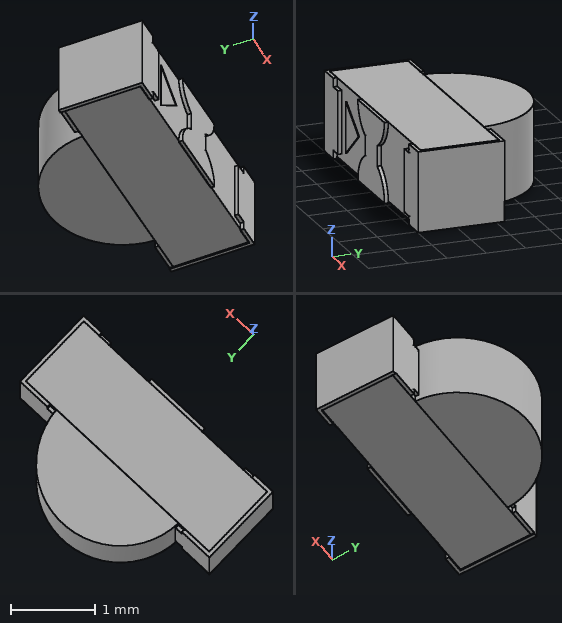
import cadquery as cq
import math


board_length = 3.0
board_depth = 1.0
board_height = 1.0
standoff = 0.02
top = standoff + board_height
board_mid_z = standoff + board_height / 2
board_front = -board_depth / 2
board_back = board_depth / 2

triangle_base_x = -0.94
triangle_tip_x = -0.52
triangle_low_z = 0.17
triangle_high_z = 0.82
triangle_thickness = 0.01

lens_radius = 1.0
lens_centre_y = 0.45

plating = 0.05
end_outer_x = board_length / 2 + plating
front_arm_width = 0.30
back_arm_width = 0.45
tab_height = 0.80
front_tab_width = 0.45
tab_bottom = (top - tab_height) / 2

lobe_radius = 0.44
neck_half_width = 0.20
upper_lobe_centre_z = 2 * board_mid_z


def box(x_min, x_max, y_min, y_max, z_min, z_max):
    """Axis-aligned block between the given limits."""
    size = (x_max - x_min, y_max - y_min, z_max - z_min)
    return cq.Workplane("XY").box(*size, centered=False).translate((x_min, y_min, z_min))


def make_board():
    """Rectangular board with the polarity triangle raised on its front."""
    block = box(-board_length / 2, board_length / 2, board_front, board_back, standoff, top)
    triangle = (
        cq.Workplane("XZ", origin=(0, board_front, 0))
        .moveTo(triangle_base_x, triangle_low_z)
        .lineTo(triangle_tip_x, board_mid_z)
        .lineTo(triangle_base_x, triangle_high_z)
        .close()
        .extrude(triangle_thickness)
    )
    return block.union(triangle)


def make_lens():
    """Circular segment standing against the back of the board, as tall as the board."""
    contact_half_width = math.sqrt(lens_radius**2 - (board_back - lens_centre_y) ** 2)
    return (
        cq.Workplane("XY", origin=(0, 0, standoff))
        .moveTo(-contact_half_width, board_back)
        .threePointArc((0, lens_centre_y + lens_radius), (contact_half_width, board_back))
        .close()
        .extrude(board_height)
    )


def make_end_terminal(side, lens):
    """U-shaped plating around one board end; side is -1 for the left end and +1 for the right."""
    board_end = board_length / 2
    front_face = board_front - plating
    back_face = board_back + plating
    tab_top = tab_bottom + tab_height

    end_wall = box(board_end, end_outer_x, front_face, back_face, 0, top)
    front_arm = box(end_outer_x - front_arm_width, end_outer_x, front_face, board_front, 0, top)
    back_arm = box(end_outer_x - back_arm_width, end_outer_x, board_back, back_face, standoff, top)
    front_tab = box(end_outer_x - front_tab_width, end_outer_x, front_face, board_front, tab_bottom, tab_top)
    lens_edge_x = math.sqrt(lens_radius**2 - (back_face - lens_centre_y) ** 2)
    back_tab = box(lens_edge_x, end_outer_x, board_back, back_face, tab_bottom, tab_top).cut(lens)

    terminal = end_wall.union(front_arm).union(back_arm).union(front_tab).union(back_tab)
    return terminal if side > 0 else terminal.mirror("YZ")


def make_centre_terminal():
    """Flat plate on the board front, wide at the bottom and top and narrow at the middle."""
    def lobe(centre_z):
        return cq.Workplane("XZ", origin=(0, board_front, centre_z)).circle(lobe_radius).extrude(plating)

    plate_limits = box(-lobe_radius, lobe_radius, board_front - plating, board_front, 0, top)
    neck = box(-neck_half_width, neck_half_width, board_front - plating, board_front, 0, top)
    return neck.union(lobe(0)).union(lobe(upper_lobe_centre_z)).intersect(plate_limits)


board = make_board()
lens = make_lens()
end_terminals = [make_end_terminal(side, lens) for side in (-1, 1)]
centre_terminal = make_centre_terminal()

result = cq.Compound.makeCompound(
    [
        board.val(),
        lens.val(),
        *[terminal.val() for terminal in end_terminals],
        centre_terminal.val(),
    ]
)